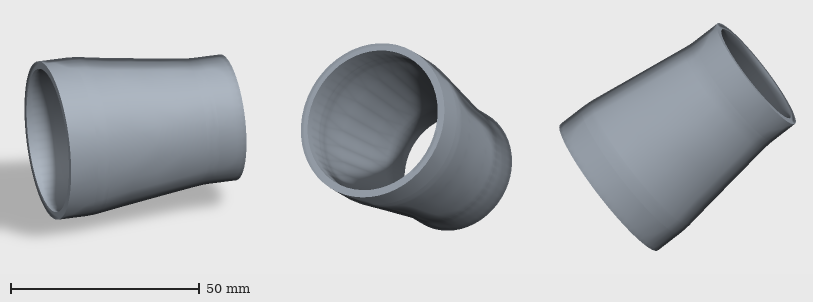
import cadquery as cq
import math

length = 50.0
large_radius = 42.4 / 2
small_radius = 33.7 / 2
wall = 2.0
collar_length = 7.5
bend_radius = 25.0

large_end = -length / 2
small_end = length / 2
taper_start = large_end + collar_length
taper_end = small_end - collar_length

taper_length = taper_end - taper_start
radial_gap = 2 * bend_radius - (large_radius - small_radius)
centre_distance = math.hypot(taper_length, radial_gap)
centre_angle = math.atan2(taper_length, radial_gap)
cone_angle = centre_angle - math.acos(2 * bend_radius / centre_distance)


def bend_offset(angle):
    """Axial and radial travel along a bend arc after turning by angle."""
    return bend_radius * math.sin(angle), bend_radius * (1 - math.cos(angle))


def reducer_body(inset):
    """Solid of revolution lying inset below the outer surface."""
    large = large_radius - inset
    small = small_radius - inset
    mid_y, mid_drop = bend_offset(cone_angle / 2)
    end_y, end_drop = bend_offset(cone_angle)
    return (
        cq.Workplane("XY")
        .moveTo(0, large_end)
        .lineTo(large, large_end)
        .lineTo(large, taper_start)
        .threePointArc(
            (large - mid_drop, taper_start + mid_y),
            (large - end_drop, taper_start + end_y),
        )
        .lineTo(small + end_drop, taper_end - end_y)
        .threePointArc((small + mid_drop, taper_end - mid_y), (small, taper_end))
        .lineTo(small, small_end)
        .lineTo(0, small_end)
        .close()
        .revolve(360, (0, 0, 0), (0, 1, 0))
    )


result = reducer_body(0).cut(reducer_body(wall))